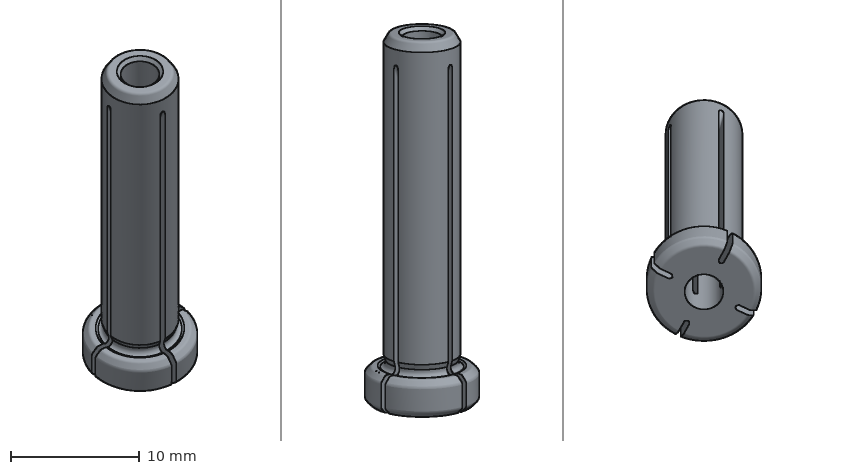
import cadquery as cq
import math

length = 30.0
shaft_radius = 3.0
bore_radius = 1.5
bore_chamfer = 0.3
tip_chamfer_height = 0.75
tip_chamfer_angle = 30.0
tip_chamfer_width = tip_chamfer_height * math.tan(math.radians(tip_chamfer_angle))

head_radius = 4.47
head_height = 3.05
head_chamfer = 0.5
edge_blend_radius = 0.3

neck_radius = 2.85
relief_top = 4.0
neck_top = 3.55
relief_fillet = 0.405
relief_depth = 0.1
relief_outer_radius = 3.45
relief_floor = head_height - relief_depth

slot_count = 4
slot_width = 0.45
disc_radius = 28.15
disc_center_distance = 27.3
disc_center_height = 13.8


def make_body():
    """Solid of revolution with the shaft, relief groove and head, before blending."""
    fillet_diagonal = relief_fillet * (1 - math.sqrt(0.5))
    return (
        cq.Workplane("XZ")
        .moveTo(0, 0)
        .lineTo(head_radius - head_chamfer, 0)
        .lineTo(head_radius, head_chamfer)
        .lineTo(head_radius, head_height - head_chamfer)
        .lineTo(head_radius - head_chamfer, head_height)
        .lineTo(relief_outer_radius, head_height)
        .lineTo(neck_radius + relief_fillet, relief_floor)
        .threePointArc(
            (neck_radius + fillet_diagonal, relief_floor + fillet_diagonal),
            (neck_radius, relief_floor + relief_fillet),
        )
        .lineTo(neck_radius, neck_top)
        .lineTo(shaft_radius, relief_top)
        .lineTo(shaft_radius, length - tip_chamfer_height)
        .lineTo(shaft_radius - tip_chamfer_width, length)
        .lineTo(0, length)
        .close()
        .revolve(360, (0, 0, 0), (0, 1, 0))
    )


def circle_edge(radius, height):
    """Selector for the circular edge around the Z axis at a radius and height."""
    tolerance = 0.003
    box_corner = radius + tolerance
    return cq.selectors.BoxSelector(
        (-box_corner, -box_corner, height - tolerance),
        (box_corner, box_corner, height + tolerance),
        boundingbox=True,
    )


def blend_edges(body):
    """Round both ends of each head chamfer and the top of the shaft chamfer."""
    blended_circles = [
        (head_radius, head_chamfer),
        (head_radius, head_height - head_chamfer),
        (head_radius - head_chamfer, 0),
        (shaft_radius - tip_chamfer_width, length),
    ]
    for radius, height in blended_circles:
        body = body.edges(circle_edge(radius, height)).fillet(edge_blend_radius)
    rim = circle_edge(head_radius - head_chamfer, head_height)
    relief_rim = circle_edge(relief_outer_radius, head_height)
    return body.edges(rim - relief_rim).fillet(edge_blend_radius)


def make_bore():
    """Through bore with a chamfered mouth at the top."""
    bore = cq.Workplane("XY").circle(bore_radius).extrude(length)
    mouth = (
        cq.Workplane("XY", origin=(0, 0, length - bore_chamfer))
        .circle(bore_radius)
        .workplane(offset=bore_chamfer)
        .circle(bore_radius + bore_chamfer)
        .loft()
    )
    return bore.union(mouth)


def make_slot_disc():
    """Disc cutter with a fully rounded edge, lying in the XZ plane and centred out along +X."""
    half_width = slot_width / 2
    flat_radius = disc_radius - half_width
    return (
        cq.Workplane("XY")
        .moveTo(0, -half_width)
        .lineTo(flat_radius, -half_width)
        .threePointArc((disc_radius, 0), (flat_radius, half_width))
        .lineTo(0, half_width)
        .close()
        .revolve(360, (0, 0, 0), (0, 1, 0))
        .translate((disc_center_distance, 0, disc_center_height))
    )


result = blend_edges(make_body()).cut(make_bore())
slot_disc = make_slot_disc()
for index in range(slot_count):
    angle = index * 360 / slot_count
    result = result.cut(slot_disc.rotate((0, 0, 0), (0, 0, 1), angle))